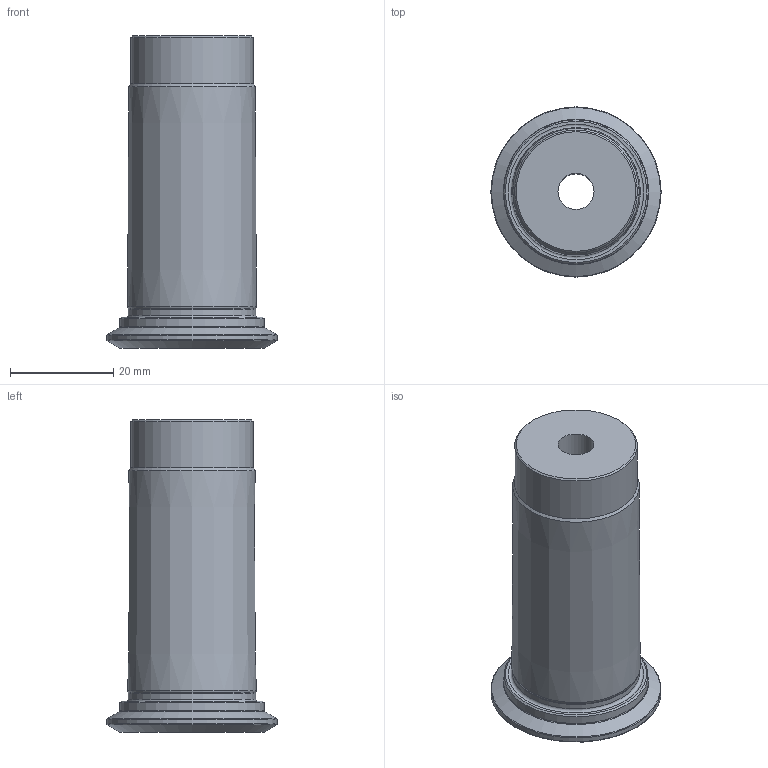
import cadquery as cq
import math

total_height = 60.5
spigot_base_z = 51.2
shoulder_height = 0.5
body_base_z = 8.0
collar_top_z = 6.0
collar_base_z = 4.0

rim_radius = 33.0 / 2
collar_radius = 28.0 / 2
body_base_radius = 24.96 / 2
neck_radius = 24.7 / 2
spigot_radius = 23.8 / 2
bore_radius = 7.0 / 2
body_taper = 1 / 100

spigot_chamfer = 0.3
collar_chamfer = 0.3
bevel_fillet = 0.2

relief_angle = math.radians(15)
relief_fillet = 0.5
relief_reach = 0.8

rim_slope = math.radians(30)
rim_bevel_height = (rim_radius - collar_radius) * math.tan(rim_slope)
rim_upper_z = collar_base_z - rim_bevel_height
rim_lower_z = rim_bevel_height


def round_corner(corner, start_angle, end_angle, radius):
    """Start, middle and end of an arc tangent to both legs of a corner.

    The angles are the directions from the corner along the incoming and outgoing legs.
    """
    half_opening = (end_angle - start_angle) / 2
    bisector = start_angle + half_opening
    tangent_length = radius / math.tan(abs(half_opening))
    middle_distance = radius / math.sin(abs(half_opening)) - radius

    def from_corner(angle, distance):
        return corner[0] + distance * math.cos(angle), corner[1] + distance * math.sin(angle)

    return (
        from_corner(start_angle, tangent_length),
        from_corner(bisector, middle_distance),
        from_corner(end_angle, tangent_length),
    )


def relief_arc():
    """Arc that dips below the collar top and rises tangent to the neck wall."""
    centre_radius = neck_radius + relief_fillet
    rise = math.sqrt(relief_fillet**2 - (relief_reach - relief_fillet) ** 2)
    centre_z = collar_top_z + rise
    diagonal = relief_fillet * math.sqrt(0.5)
    return (
        (neck_radius + relief_reach, collar_top_z),
        (centre_radius - diagonal, centre_z - diagonal),
        (neck_radius, centre_z),
    )


def add_arc(outline, arc):
    start, middle, end = arc
    return outline.lineTo(*start).threePointArc(middle, end)


def make_turned_body():
    """Revolve the half profile of the sleeve about Z."""
    up = math.pi / 2
    down = -math.pi / 2
    shoulder_z = spigot_base_z - shoulder_height
    body_top_radius = body_base_radius - body_taper * (shoulder_z - body_base_z) / 2
    neck_top_z = body_base_z - (body_base_radius - neck_radius) / math.tan(relief_angle)

    outline = cq.Workplane("XZ").lineTo(collar_radius, 0)

    lower_corner = (rim_radius, rim_lower_z)
    upper_corner = (rim_radius, rim_upper_z)
    outline = add_arc(outline, round_corner(lower_corner, math.pi + rim_slope, up, bevel_fillet))
    outline = add_arc(outline, round_corner(upper_corner, down, -math.pi - rim_slope, bevel_fillet))

    collar_corner = (collar_radius, collar_base_z)
    outline = add_arc(outline, round_corner(collar_corner, -rim_slope, up, bevel_fillet))
    outline = outline.lineTo(collar_radius, collar_top_z - collar_chamfer)
    outline = outline.lineTo(collar_radius - collar_chamfer, collar_top_z)

    neck_corner = (neck_radius, neck_top_z)
    outline = add_arc(outline, relief_arc())
    outline = add_arc(outline, round_corner(neck_corner, down, up - relief_angle, relief_fillet))

    outline = outline.lineTo(body_base_radius, body_base_z)
    outline = outline.lineTo(body_top_radius, shoulder_z)
    outline = outline.lineTo(spigot_radius, spigot_base_z)
    outline = outline.lineTo(spigot_radius, total_height - spigot_chamfer)
    outline = outline.lineTo(spigot_radius - spigot_chamfer, total_height)
    outline = outline.lineTo(0, total_height).close()
    return outline.revolve(360, (0, 0, 0), (0, 1, 0))


def make_bore():
    return cq.Workplane("XY").circle(bore_radius).extrude(total_height)


result = make_turned_body().cut(make_bore())